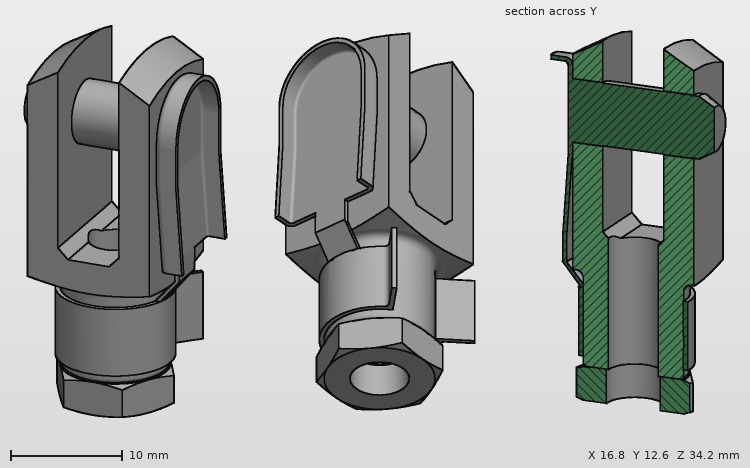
import cadquery as cq
import math

TOTAL_HEIGHT = 34.2
FORK_WIDTH = 12.0
NECK_DIAMETER = 10.0
PIN_DIAMETER = 6.0
PIN_HEIGHT = 27.22
NUT_HEIGHT = 3.2

SLOT_WIDTH = FORK_WIDTH / 2
SLOT_FLOOR = 15.2
SLOT_CHAMFER = 1.0
HEAD_BOTTOM = 12.2
HEAD_CONE_ANGLE = 16.0
NECK_FILLET = 0.7
NECK_END_FILLET = 0.4
FORK_BORE = 4.92
CROWN_RADIUS = 19.85
CROWN_SLOPE = 29.0

NUT_ACROSS_FLATS = NECK_DIAMETER
NUT_BORE = 5.35
NUT_CHAMFER_ANGLE = 20.0

PIN_TIP_X = -8.05
PIN_CONE_X = -6.5
PIN_TIP_DIAMETER = 4.25

SHEET = 0.45
CAP_WIDTH = 10.0
CAP_DEPTH = 2.15
CAP_BEND = 0.7
CAP_STRAIGHT_BOTTOM = 23.25
TAIL_BOTTOM = 15.0
TAIL_SHIFT = 0.58
BAND_BOTTOM = 4.17
BAND_TOP = 10.67
STRAP_WIDTH = 3.42
STRAP_KNEE = 12.85
STRAP_FOOT_X = 4.65
STRAP_FOOT_RUN = 0.55
EAR_ANGLE = 45.0
EAR_OFFSET = 0.27
EAR_LENGTH = 8.55
EAR_BEND = 0.5

half_width = FORK_WIDTH / 2
half_slot = SLOT_WIDTH / 2
neck_radius = NECK_DIAMETER / 2
pin_radius = PIN_DIAMETER / 2


def tan(angle):
    return math.tan(math.radians(angle))


def x_cylinder(radius, start, end):
    """Cylinder along the pin axis between two X positions."""
    return cq.Workplane("YZ", origin=(start, 0, PIN_HEIGHT)).circle(radius).extrude(end - start)


def turned_blank():
    """Neck, fillet and conical underside of the head, turned about Z."""
    far_radius = FORK_WIDTH
    far_height = HEAD_BOTTOM + (far_radius - half_width) * tan(HEAD_CONE_ANGLE)
    fillet_mid = NECK_FILLET * (1 - math.sqrt(0.5))
    end_mid = NECK_END_FILLET * (1 - math.sqrt(0.5))
    return (
        cq.Workplane("XZ")
        .moveTo(0, NUT_HEIGHT)
        .lineTo(neck_radius - NECK_END_FILLET, NUT_HEIGHT)
        .threePointArc(
            (neck_radius - end_mid, NUT_HEIGHT + end_mid),
            (neck_radius, NUT_HEIGHT + NECK_END_FILLET),
        )
        .lineTo(neck_radius, HEAD_BOTTOM - NECK_FILLET)
        .threePointArc(
            (neck_radius + fillet_mid, HEAD_BOTTOM - fillet_mid),
            (neck_radius + NECK_FILLET, HEAD_BOTTOM),
        )
        .lineTo(half_width, HEAD_BOTTOM)
        .lineTo(far_radius, far_height)
        .lineTo(far_radius, TOTAL_HEIGHT)
        .lineTo(0, TOTAL_HEIGHT)
        .close()
        .revolve(360, (0, 0, 0), (0, 1, 0))
    )


def crown():
    """Body turned about an X axis that rounds and bevels the fork tips."""
    axis_height = TOTAL_HEIGHT - CROWN_RADIUS
    outer_top = TOTAL_HEIGHT - (half_width - half_slot) * tan(CROWN_SLOPE)
    return (
        cq.Workplane("XZ")
        .moveTo(-half_width, axis_height)
        .lineTo(-half_width, outer_top)
        .lineTo(-half_slot, TOTAL_HEIGHT)
        .lineTo(half_slot, TOTAL_HEIGHT)
        .lineTo(half_width, outer_top)
        .lineTo(half_width, axis_height)
        .close()
        .revolve(360, (0, axis_height, 0), (1, axis_height, 0))
    )


def make_fork():
    square = cq.Workplane("XY").rect(FORK_WIDTH, FORK_WIDTH).extrude(TOTAL_HEIGHT)
    slot = (
        cq.Workplane("XY", origin=(0, 0, SLOT_FLOOR))
        .rect(SLOT_WIDTH, FORK_WIDTH)
        .extrude(TOTAL_HEIGHT - SLOT_FLOOR)
        .edges("<Z and |Y")
        .chamfer(SLOT_CHAMFER)
    )
    bore = cq.Workplane("XY").circle(FORK_BORE / 2).extrude(TOTAL_HEIGHT)
    cross_hole = x_cylinder(pin_radius, -half_width, half_width)
    return turned_blank().intersect(square).intersect(crown()).cut(slot).cut(bore).cut(cross_hole).solids()


def make_nut():
    """Hexagon nut with two corners on the X axis, chamfered at both ends."""
    across_corners = NUT_ACROSS_FLATS / math.cos(math.radians(30))
    corner = across_corners / 2
    flat = NUT_ACROSS_FLATS / 2
    drop = (corner - flat) * tan(NUT_CHAMFER_ANGLE)
    chamfer_body = (
        cq.Workplane("XZ")
        .polyline([
            (0, 0),
            (flat, 0),
            (corner, drop),
            (corner, NUT_HEIGHT - drop),
            (flat, NUT_HEIGHT),
            (0, NUT_HEIGHT),
        ])
        .close()
        .revolve(360, (0, 0, 0), (0, 1, 0))
    )
    hexagon = cq.Workplane("XY").polygon(6, across_corners).circle(NUT_BORE / 2).extrude(NUT_HEIGHT)
    return hexagon.intersect(chamfer_body).solids()


def pin():
    cone = (
        cq.Workplane("XZ", origin=(0, 0, PIN_HEIGHT))
        .polyline([
            (PIN_TIP_X, 0),
            (PIN_TIP_X, PIN_TIP_DIAMETER / 2),
            (PIN_CONE_X, pin_radius),
            (PIN_CONE_X, 0),
        ])
        .close()
        .revolve(360, (0, 0, 0), (1, 0, 0))
    )
    return cone.union(x_cylinder(pin_radius, PIN_CONE_X, half_width + SHEET))


def cap_half_section(height):
    """Half of the cap's U section at a height: base on the fork, wall towards +X."""
    wall = CAP_WIDTH / 2
    inner_bend = CAP_BEND - SHEET
    bend_mid = CAP_BEND - CAP_BEND * math.sqrt(0.5)
    inner_mid = CAP_BEND - inner_bend * math.sqrt(0.5)
    return (
        cq.Workplane("XY", origin=(half_width, 0, height))
        .moveTo(0, 0)
        .lineTo(0, wall - CAP_BEND)
        .threePointArc((bend_mid, wall - bend_mid), (CAP_BEND, wall))
        .lineTo(CAP_DEPTH, wall)
        .lineTo(CAP_DEPTH, wall - SHEET)
        .lineTo(CAP_BEND, wall - SHEET)
        .threePointArc((inner_mid, wall - inner_mid), (SHEET, wall - CAP_BEND))
        .lineTo(SHEET, 0)
        .close()
    )


def cap():
    """Round cap over the pin end, running straight down into the leaning tail."""
    dome = cap_half_section(PIN_HEIGHT).revolve(180, (0, 0, 0), (1, 0, 0))
    straight = cap_half_section(PIN_HEIGHT).extrude(CAP_STRAIGHT_BOTTOM - PIN_HEIGHT)
    lean = cq.Vector(TAIL_SHIFT, 0, TAIL_BOTTOM - CAP_STRAIGHT_BOTTOM)
    section = cap_half_section(CAP_STRAIGHT_BOTTOM).wire().val()
    tail = cq.Workplane(cq.Solid.extrudeLinear(section, [], lean))
    channel = straight.union(tail)
    return dome.union(channel).union(channel.mirror("XZ"))


def strap():
    """Bent strip from the tail down to the top of the band."""
    inner_x = half_width + TAIL_SHIFT
    outer_x = inner_x + SHEET
    strip = (
        cq.Workplane("XZ", origin=(0, STRAP_WIDTH / 2, 0))
        .polyline([
            (inner_x, TAIL_BOTTOM),
            (outer_x, TAIL_BOTTOM),
            (outer_x, STRAP_KNEE),
            (STRAP_FOOT_X + STRAP_FOOT_RUN, BAND_TOP),
            (STRAP_FOOT_X, BAND_TOP),
            (inner_x, STRAP_KNEE),
        ])
        .close()
        .extrude(STRAP_WIDTH)
    )
    neck = cq.Workplane("XY").circle(neck_radius).extrude(HEAD_BOTTOM)
    return strip.cut(neck)


def band():
    """Open band around the neck with two ears flared towards +Y."""
    height = BAND_TOP - BAND_BOTTOM
    outer_radius = neck_radius + SHEET
    base = cq.Workplane("XY", origin=(0, 0, BAND_BOTTOM))
    ring = base.circle(outer_radius).circle(neck_radius).extrude(height)
    apex = EAR_OFFSET / math.sin(math.radians(EAR_ANGLE))
    reach = 2 * outer_radius
    half_gap = reach * tan(EAR_ANGLE)
    opening = (
        base.polyline([(0, apex), (half_gap, apex + reach), (-half_gap, apex + reach)])
        .close()
        .extrude(height)
    )
    collar = ring.cut(opening)
    ear_start = math.sqrt(neck_radius**2 - EAR_OFFSET**2)
    ear = (
        base.moveTo(EAR_OFFSET, ear_start)
        .lineTo(EAR_OFFSET + SHEET, ear_start)
        .lineTo(EAR_OFFSET + SHEET, EAR_LENGTH)
        .lineTo(EAR_OFFSET, EAR_LENGTH)
        .close()
        .extrude(height)
        .rotate((0, 0, 0), (0, 0, 1), EAR_ANGLE)
    )
    collar = collar.union(ear).union(ear.mirror("YZ"))
    root = math.sqrt(outer_radius**2 - EAR_OFFSET**2)
    turn = math.radians(EAR_ANGLE)
    root_x = root * math.sin(turn) - EAR_OFFSET * math.cos(turn)
    root_y = root * math.cos(turn) + EAR_OFFSET * math.sin(turn)
    middle = (BAND_TOP + BAND_BOTTOM) / 2
    for x in (-root_x, root_x):
        corner = cq.selectors.NearestToPointSelector((x, root_y, middle))
        collar = collar.edges("|Z").edges(corner).fillet(EAR_BEND)
    return collar


def make_clip_pin():
    """Pin and spring clip in one piece."""
    return pin().union(cap()).union(strap()).union(band()).solids()


fork = make_fork()
nut = make_nut()
clip_pin = make_clip_pin()

result = cq.Compound.makeCompound([fork.val(), nut.val(), clip_pin.val()])